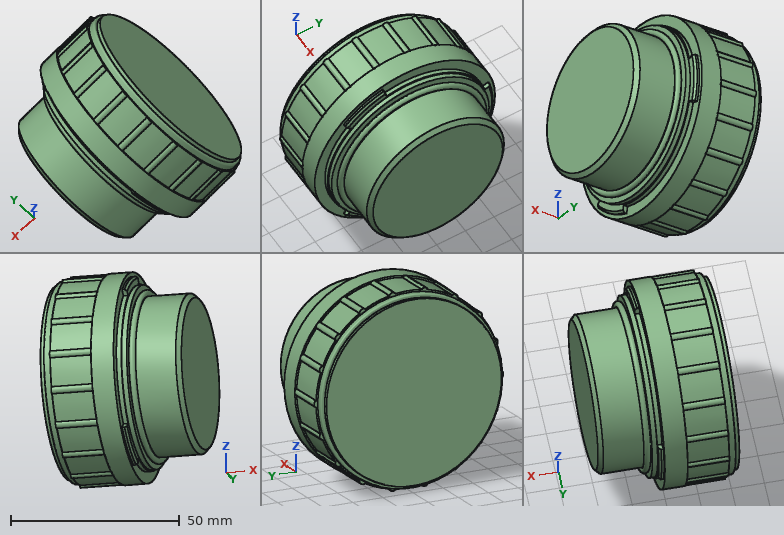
import cadquery as cq

front_disc_end = 1.25
ring_start = 3.4
ring_end = 16.05
collar_end = 23.0
lug_end = 24.45
flange_end = 26.0
overall_length = 41.5

front_disc_diameter = 58.2
rim_diameter = 60.6
grip_diameter = 61.75
collar_diameter = 63.0
neck_diameter = 55.9
flange_diameter = 55.0
spigot_diameter = 48.0

rim_fillet = 0.5
spigot_chamfer = 1.4

rib_count = 18
rib_radius = 1.2

lug_count = 3
lug_diameter = 60.3
lug_angle = 30.0
lug_chamfer = 0.7

seal_radius = 1.0
seal_outer_diameter = 51.85


def cylinder(diameter, start, end):
    """Solid cylinder about the X axis between two axial stations."""
    return cq.Workplane("YZ").workplane(offset=start).circle(diameter / 2).extrude(end - start)


def stepped_body():
    front_disc = cylinder(front_disc_diameter, 0, front_disc_end)
    rim = cylinder(rim_diameter, front_disc_end, ring_start).faces("<X").fillet(rim_fillet)
    grip = cylinder(grip_diameter, ring_start, ring_end)
    collar = cylinder(collar_diameter, ring_end, collar_end)
    neck = cylinder(neck_diameter, collar_end, lug_end)
    flange = cylinder(flange_diameter, lug_end, flange_end)
    spigot = cylinder(spigot_diameter, flange_end, overall_length).faces(">X").chamfer(spigot_chamfer)
    body = front_disc
    for step in (rim, grip, collar, neck, flange, spigot):
        body = body.union(step)
    return body


def grip_ribs():
    return (
        cq.Workplane("YZ")
        .workplane(offset=ring_start)
        .polarArray(collar_diameter / 2 - rib_radius, 0, 360, rib_count)
        .circle(rib_radius)
        .extrude(ring_end - ring_start)
    )


def locking_lug(direction):
    """Chamfered sector of a disc, centred on an angle from +Y about X."""
    lug_radius = lug_diameter / 2
    half_section = (
        cq.Workplane("XY")
        .moveTo(collar_end, 0)
        .lineTo(collar_end, lug_radius)
        .lineTo(lug_end - lug_chamfer, lug_radius)
        .lineTo(lug_end, lug_radius - lug_chamfer)
        .lineTo(lug_end, 0)
        .close()
    )
    sector = half_section.revolve(lug_angle, (0, 0, 0), (1, 0, 0))
    return sector.rotate((0, 0, 0), (1, 0, 0), direction - lug_angle / 2)


def sealing_ring():
    tube_centre_radius = seal_outer_diameter / 2 - seal_radius
    tube_centre_x = flange_end + seal_radius
    tube = cq.Workplane("XY").center(tube_centre_x, tube_centre_radius).circle(seal_radius)
    return tube.revolve(360, (0, -tube_centre_radius, 0), (1, -tube_centre_radius, 0))


result = stepped_body().union(grip_ribs())
for index in range(lug_count):
    result = result.union(locking_lug(index * 360 / lug_count))
result = result.union(sealing_ring())